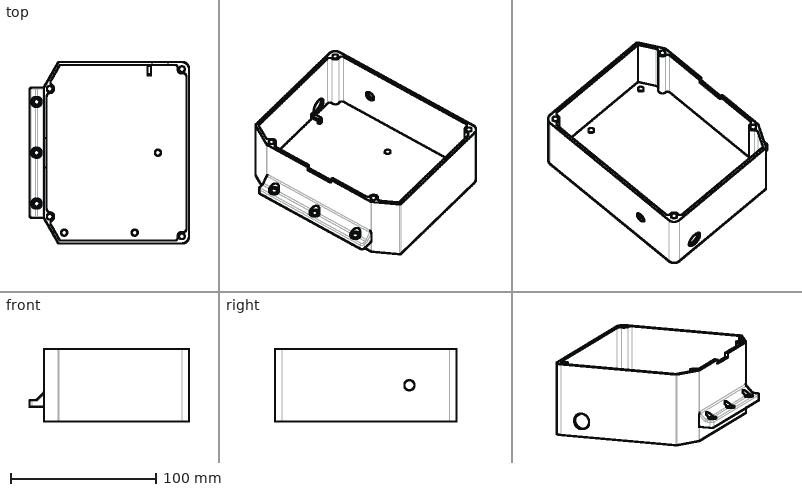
import cadquery as cq
import math

BOX_LENGTH = 100.0
BOX_WIDTH = 125.0
BOX_HEIGHT = 50.0
WALL = 2.0
FLOOR = 5.0
CORNER_RADIUS = 5.0
CUT_LENGTH = 10.0
FLAT_WIDTH = 90.0
EDGE_RADIUS = 1.0
HALF_WIDTH = BOX_WIDTH / 2
HALF_FLAT = FLAT_WIDTH / 2
CAVITY_DEPTH = BOX_HEIGHT - FLOOR
CUT_ANGLE = math.degrees(math.atan2(CUT_LENGTH, HALF_WIDTH - HALF_FLAT))

BOSS_RADIUS = 3.0
BOSS_BLEND = 2.0
SCREW_HOLE_DIAMETER = 4.0
SCREW_HOLE_DEPTH = 10.0
REAR_BOSS_INSET = CORNER_RADIUS
FRONT_BOSS_INSET = 4.0

FLANGE_DEPTH = 10.0
FLANGE_BOTTOM = 10.1
FLANGE_TOP = 14.9
GUSSET_SIZE = 5.0
GUSSET_BLEND = 2.0
FLANGE_CORNER_RADIUS = 2.0
FLANGE_EDGE_RADIUS = 1.0
FLANGE_ROOT = 1.5
FLANGE_ROOT_TOP = 25.0
MOUNT_HOLE_DIAMETER = 4.0
MOUNT_SEAT_DIAMETER = 7.0
MOUNT_SEAT_DEPTH = 0.5
MOUNT_SEAT_Z = FLANGE_TOP - MOUNT_SEAT_DEPTH
MOUNT_HOLE_X = -FLANGE_DEPTH / 2
MOUNT_PITCH = 35.0

FLOOR_HOLE_DIAMETER = 4.0
FLOOR_HOLES = [(78.5, 0.0), (14.0, -55.0), (62.5, -55.0)]
NOTCH_WIDTH = 20.0
NOTCH_DEPTH = 3.0
SIDE_HOLE_DIAMETER = 11.0
SIDE_HOLE_X = 80.0
SIDE_HOLE_Z = 11.0
REAR_HOLE_DIAMETER = 7.0
REAR_HOLE_Y = 30.0
REAR_HOLE_Z = 25.0

LOOP_X = 72.5
LOOP_WIDTH = 2.5
LOOP_REACH = 7.5
LOOP_HEIGHT = 4.0
LOOP_THICKNESS = 2.0
LOOP_BEVEL = 1.0


def box_outline():
    """Closed outline of the box with sharp corners."""
    return [
        (0, -HALF_FLAT),
        (CUT_LENGTH, -HALF_WIDTH),
        (BOX_LENGTH, -HALF_WIDTH),
        (BOX_LENGTH, HALF_WIDTH),
        (CUT_LENGTH, HALF_WIDTH),
        (0, HALF_FLAT),
    ]


def outer_block():
    block = cq.Workplane("XY").polyline(box_outline()).close().extrude(BOX_HEIGHT)
    block = block.edges("|Z and >X").fillet(CORNER_RADIUS)
    slanted_end = cq.selectors.BoxSelector(
        (-CUT_LENGTH, -BOX_WIDTH, 0), (2 * CUT_LENGTH, BOX_WIDTH, BOX_HEIGHT))
    return block.edges("|Z").edges(slanted_end).fillet(EDGE_RADIUS)


def bosses():
    """Each boss: axis x, axis y, inset from the outer faces, directions of its two walls."""
    rear_x = BOX_LENGTH - REAR_BOSS_INSET
    rear_y = HALF_WIDTH - REAR_BOSS_INSET
    front_x = FRONT_BOSS_INSET
    front_y = HALF_FLAT - FRONT_BOSS_INSET * math.tan(math.radians(CUT_ANGLE / 2))
    found = []
    for side in (-1, 1):
        found.append((rear_x, side * rear_y, REAR_BOSS_INSET, (0, side * 90)))
        found.append((front_x, side * front_y, FRONT_BOSS_INSET, (180, side * (180 - CUT_ANGLE))))
    return found


def boss_web(inset):
    """Web with concave fillets, joining a boss at the origin to a wall on its +X side."""
    reach = inset - WALL
    spacing = BOSS_RADIUS + BOSS_BLEND
    centre_x = reach - BOSS_BLEND
    centre_y = math.sqrt(spacing ** 2 - centre_x ** 2)
    boss_angle = math.atan2(-centre_y, -centre_x)
    middle_angle = boss_angle / 2

    def on_fillet(angle, side):
        x = centre_x + BOSS_BLEND * math.cos(angle)
        y = centre_y + BOSS_BLEND * math.sin(angle)
        return x, side * y

    return (cq.Workplane("XY")
            .moveTo(0, 0)
            .lineTo(*on_fillet(boss_angle, 1))
            .threePointArc(on_fillet(middle_angle, 1), on_fillet(0, 1))
            .lineTo(inset, centre_y)
            .lineTo(inset, -centre_y)
            .lineTo(*on_fillet(0, -1))
            .threePointArc(on_fillet(middle_angle, -1), on_fillet(boss_angle, -1))
            .close()
            .extrude(CAVITY_DEPTH))


def boss_body(x, y, inset, wall_angles):
    """Round boss with a web to each of its two walls."""
    body = cq.Workplane("XY").circle(BOSS_RADIUS).extrude(CAVITY_DEPTH)
    for angle in wall_angles:
        body = body.union(boss_web(inset).rotate((0, 0, 0), (0, 0, 1), angle))
    return body.translate((x, y, FLOOR))


def cavity():
    space = (cq.Workplane("XY", origin=(0, 0, FLOOR)).polyline(box_outline()).close()
             .offset2D(-WALL, "intersection").extrude(CAVITY_DEPTH))
    for x, y, inset, wall_angles in bosses():
        space = space.cut(boss_body(x, y, inset, wall_angles))
    return cq.Workplane(max(space.solids().vals(), key=lambda solid: solid.Volume()))


def flange():
    """Flange and gusset, with a root strip that sinks into the -X wall."""
    profile = [
        (FLANGE_ROOT, FLANGE_BOTTOM),
        (-FLANGE_DEPTH, FLANGE_BOTTOM),
        (-FLANGE_DEPTH, FLANGE_TOP),
        (-GUSSET_SIZE, FLANGE_TOP),
        (0, FLANGE_TOP + GUSSET_SIZE),
        (0, FLANGE_ROOT_TOP),
        (FLANGE_ROOT, FLANGE_ROOT_TOP),
    ]
    body = (cq.Workplane("XZ", origin=(0, HALF_FLAT, 0))
            .polyline(profile).close().extrude(FLAT_WIDTH))
    for x, z in ((-GUSSET_SIZE, FLANGE_TOP), (0, FLANGE_TOP + GUSSET_SIZE)):
        bend = cq.selectors.NearestToPointSelector((x, 0, z))
        body = body.edges("|Y").edges(bend).fillet(GUSSET_BLEND)
    body = body.edges("|Z and <X").fillet(FLANGE_CORNER_RADIUS)
    rim = cq.selectors.NearestToPointSelector((-FLANGE_DEPTH, 0, FLANGE_TOP))
    return body.edges("|Y").edges(rim).fillet(FLANGE_EDGE_RADIUS)


def mount_holes():
    spots = [(MOUNT_HOLE_X, i * MOUNT_PITCH) for i in (-1, 0, 1)]
    seat_height = FLANGE_ROOT_TOP - MOUNT_SEAT_Z
    holes = (cq.Workplane("XY", origin=(0, 0, FLANGE_BOTTOM))
             .pushPoints(spots).circle(MOUNT_HOLE_DIAMETER / 2).extrude(MOUNT_SEAT_Z - FLANGE_BOTTOM))
    seats = (cq.Workplane("XY", origin=(0, 0, MOUNT_SEAT_Z))
             .pushPoints(spots).circle(MOUNT_SEAT_DIAMETER / 2).extrude(seat_height))
    return holes.union(seats)


def screw_holes():
    spots = [(x, y) for x, y, _, _ in bosses()]
    return (cq.Workplane("XY", origin=(0, 0, BOX_HEIGHT))
            .pushPoints(spots).circle(SCREW_HOLE_DIAMETER / 2).extrude(-SCREW_HOLE_DEPTH))


def floor_holes():
    return (cq.Workplane("XY").pushPoints(FLOOR_HOLES)
            .circle(FLOOR_HOLE_DIAMETER / 2).extrude(FLOOR))


def lid_notch():
    return cq.Workplane("XY", origin=(0, 0, BOX_HEIGHT - NOTCH_DEPTH)).box(
        WALL, NOTCH_WIDTH, NOTCH_DEPTH, centered=(False, True, False))


def wall_holes():
    side = (cq.Workplane("XZ", origin=(SIDE_HOLE_X, HALF_WIDTH, SIDE_HOLE_Z))
            .circle(SIDE_HOLE_DIAMETER / 2).extrude(WALL))
    rear = (cq.Workplane("YZ", origin=(BOX_LENGTH, REAR_HOLE_Y, REAR_HOLE_Z))
            .circle(REAR_HOLE_DIAMETER / 2).extrude(-WALL))
    return side.union(rear)


def cable_loop():
    """Arm reaching in from the +Y wall, with a leg down to the floor."""
    wall_y = HALF_WIDTH - WALL
    leg_y = wall_y - LOOP_REACH
    top = FLOOR + LOOP_HEIGHT
    underside = top - LOOP_THICKNESS
    profile = [
        (wall_y, top + LOOP_BEVEL),
        (wall_y - LOOP_BEVEL, top),
        (leg_y + LOOP_BEVEL, top),
        (leg_y, top - LOOP_BEVEL),
        (leg_y, FLOOR),
        (leg_y + LOOP_THICKNESS, FLOOR),
        (leg_y + LOOP_THICKNESS, underside),
        (wall_y, underside),
    ]
    return (cq.Workplane("YZ", origin=(LOOP_X - LOOP_WIDTH / 2, 0, 0))
            .polyline(profile).close().extrude(LOOP_WIDTH))


result = (
    outer_block()
    .union(flange())
    .cut(cavity())
    .union(cable_loop())
    .cut(mount_holes())
    .cut(screw_holes())
    .cut(floor_holes())
    .cut(lid_notch())
    .cut(wall_holes())
)